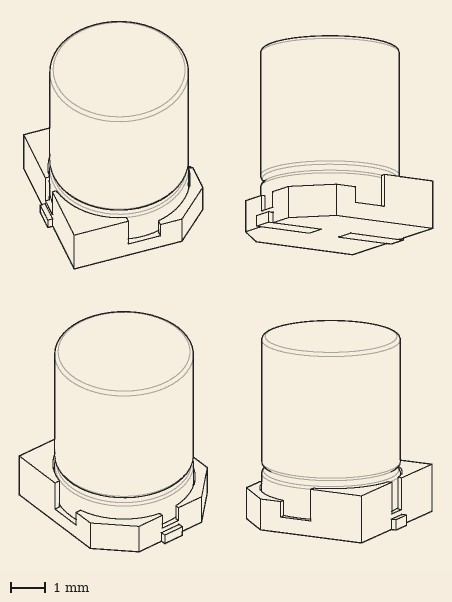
import cadquery as cq
import math

BASE_SIDE = 4.3
CORNER_CHAMFER = 1.0
BASE_HEIGHT = 1.4
BACK_HEIGHT = 0.92
FLOOR_HEIGHT = 0.46
SIDE_SLOT_WIDTH = 0.98
END_SLOT_WIDTH = 0.59

CAN_RADIUS = 2.0
CAN_CLEARANCE = 0.05
CAN_TOP = 5.41
TOP_FILLET = 0.1
GROOVE_MIDDLE = 1.525
GROOVE_HEIGHT = 0.35
GROOVE_ARC_RADIUS = 0.1

LEAD_WIDTH = 0.65
LEAD_HEIGHT = 0.31
LEAD_SPAN = 4.6
LEAD_GAP = 1.0

ON_FLOOR = (True, True, False)


def make_base():
    """Stepped base with a round pocket and a slot through each wall."""
    base = cq.Workplane("XY").box(BASE_SIDE, BASE_SIDE, BASE_HEIGHT, centered=ON_FLOOR)
    base = base.edges("|Z and >Y").chamfer(CORNER_CHAMFER)

    cutting_level = cq.Workplane("XY").workplane(offset=BACK_HEIGHT)
    base = base.cut(
        cutting_level.center(0, BASE_SIDE / 2).box(BASE_SIDE, BASE_SIDE, BASE_HEIGHT, centered=ON_FLOOR)
    )

    floor = cq.Workplane("XY").workplane(offset=FLOOR_HEIGHT)
    pocket = floor.circle(CAN_RADIUS + CAN_CLEARANCE).extrude(BASE_HEIGHT)
    side_slots = floor.rect(BASE_SIDE, SIDE_SLOT_WIDTH).extrude(BASE_HEIGHT)
    end_slots = floor.rect(END_SLOT_WIDTH, BASE_SIDE).extrude(BASE_HEIGHT)
    return base.cut(pocket).cut(side_slots).cut(end_slots)


def make_can():
    """Revolved can with a rolled groove near its foot and a rounded top rim."""
    flank_height = GROOVE_HEIGHT / 2
    turn = math.asin(flank_height / (2 * GROOVE_ARC_RADIUS))
    step_in = GROOVE_ARC_RADIUS * (1 - math.cos(turn))
    flank_radius = CAN_RADIUS - step_in
    neck_radius = CAN_RADIUS - 2 * step_in
    groove_bottom = GROOVE_MIDDLE - flank_height
    groove_top = GROOVE_MIDDLE + flank_height
    lower_flank = GROOVE_MIDDLE - flank_height / 2
    upper_flank = GROOVE_MIDDLE + flank_height / 2

    profile = (
        cq.Workplane("XZ")
        .moveTo(0, FLOOR_HEIGHT)
        .lineTo(-CAN_RADIUS, FLOOR_HEIGHT)
        .lineTo(-CAN_RADIUS, groove_bottom)
        .tangentArcPoint((-flank_radius, lower_flank), relative=False)
        .tangentArcPoint((-neck_radius, GROOVE_MIDDLE), relative=False)
        .tangentArcPoint((-flank_radius, upper_flank), relative=False)
        .tangentArcPoint((-CAN_RADIUS, groove_top), relative=False)
        .lineTo(-CAN_RADIUS, CAN_TOP - TOP_FILLET)
        .tangentArcPoint((-CAN_RADIUS + TOP_FILLET, CAN_TOP), relative=False)
        .lineTo(0, CAN_TOP)
        .close()
    )
    return profile.revolve(360, (0, 0, 0), (0, 1, 0))


def make_lead(end):
    """Flat lead flush with the underside; end is -1 for the front and +1 for the back."""
    length = (LEAD_SPAN - LEAD_GAP) / 2
    middle = end * (LEAD_SPAN - length) / 2
    return cq.Workplane("XY").center(0, middle).box(LEAD_WIDTH, length, LEAD_HEIGHT, centered=ON_FLOOR)


can = make_can()
leads = [make_lead(end) for end in (-1, 1)]

base = make_base()
for lead in leads:
    base = base.cut(lead)

result = cq.Compound.makeCompound([base.val(), can.val(), *[lead.val() for lead in leads]])